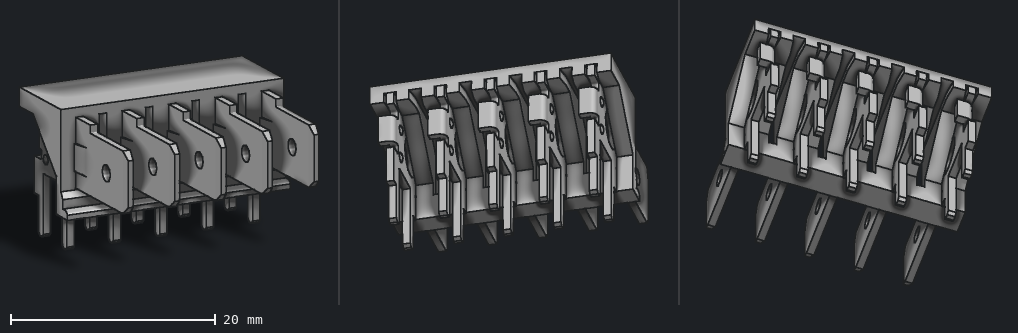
import cadquery as cq
import math


terminal_count = 5
pitch = 5.08
thickness = 0.8
total_height = 15.0
slot_top = 14.0
slot_bottom = 6.65
wall_back = 8.0
wall_front = 9.0
blade_bottom = 6.8
blade_center_z = 10.0

housing_length = 24.45
cap_thickness = 2.0
cap_underside = total_height - cap_thickness
cap_depth = 2.95
slope_run = wall_back - cap_depth
housing_bottom = 4.1
ledge_x = 9.43
ledge_chamfer_top = slot_bottom
ledge_chamfer_bottom = 5.96
foot_x = 10.4
foot_top = 5.0
foot_round_start_x = 9.85
foot_radius = 0.6
slot_mouth_width = 1.25
slot_mouth_depth = 1.6

body_bottom = 4.0
blade_tip_x = 20.0
blade_top = 13.17
shoulder_x = 12.07
shoulder_radius = 0.1
bevel_length = 0.9
bevel_height = 0.8
tip_thickness = 0.54
blade_hole_x = 15.52
blade_hole_diameter = 1.65
window_x = 6.0
window_diameter = 4.0

pin_width = 1.08
back_pin_x = 0.9
front_pin_x = 6.0
pin_gap_top = 6.48
pin_tip_chamfer = 0.32

notch_depth = 1.55
notch_bottom = 7.82
notch_top = 12.73
notch_radius = 0.17
tongue_bottom = 8.82
tongue_top = 11.75
tongue_root_x = 1.25
tongue_overhang = 0.95

dimple_x = 2.5
dimple_heights = (8.02, 11.1)
dimple_diameter = 1.0
dimple_height = 0.2

lance_start_x = 9.15
lance_end_x = 11.17
lance_rise = 0.27
lance_start_height = 2.75
lance_end_height = 2.95


def row_positions(count):
    """Y positions of a centred row of features at the terminal pitch."""
    return [(i - (count - 1) / 2) * pitch for i in range(count)]


def plate(sketch, width):
    """Extrude an XZ outline to the given width, centred on Y = 0."""
    return sketch.extrude(width).translate((0, width / 2, 0))


def xz_box(x_min, x_max, z_min, z_max, width):
    """Box given by its X and Z limits, centred on Y = 0."""
    outline = cq.Workplane("XZ").center((x_min + x_max) / 2, (z_min + z_max) / 2)
    return plate(outline.rect(x_max - x_min, z_max - z_min), width)


def make_slot():
    """Cutter for one slot: a straight passage with a flared mouth in the back face."""
    passage = xz_box(0, foot_x, slot_bottom, slot_top, thickness)
    mouth = (
        cq.Workplane("XY", origin=(0, 0, slot_bottom))
        .moveTo(0, -slot_mouth_width / 2)
        .lineTo(slot_mouth_depth, -thickness / 2)
        .lineTo(slot_mouth_depth, thickness / 2)
        .lineTo(0, slot_mouth_width / 2)
        .close()
        .extrude(slot_top - slot_bottom)
    )
    return passage.union(mouth)


def make_housing():
    """Cap, sloped underside and footed front wall, slotted at and between the terminals."""
    foot_round_run = foot_x - foot_round_start_x
    foot_round_drop = foot_radius - math.sqrt(foot_radius**2 - foot_round_run**2)
    profile = (
        cq.Workplane("XZ")
        .moveTo(0, total_height)
        .lineTo(wall_front, total_height)
        .lineTo(wall_front, ledge_chamfer_top)
        .lineTo(ledge_x, ledge_chamfer_bottom)
        .lineTo(ledge_x, foot_top)
        .lineTo(foot_round_start_x, foot_top)
        .radiusArc((foot_x, foot_top - foot_round_drop), foot_radius)
        .lineTo(foot_x, housing_bottom)
        .lineTo(wall_back, housing_bottom)
        .lineTo(wall_back, cap_underside - slope_run)
        .lineTo(cap_depth, cap_underside)
        .lineTo(0, cap_underside)
        .close()
    )
    housing = plate(profile, housing_length)
    slot = make_slot()
    for y in row_positions(terminal_count) + row_positions(terminal_count - 1):
        housing = housing.cut(slot.translate((0, y, 0)))
    return housing


def make_blade():
    """Flat connector blade with a raised root and a tip bevelled on all four sides."""
    bevel_x = blade_tip_x - bevel_length
    root = xz_box(0, shoulder_x, blade_bottom, slot_top, thickness)
    blade = xz_box(0, bevel_x, blade_bottom, blade_top, thickness)
    shoulder_fillet = plate(
        cq.Workplane("XZ")
        .moveTo(shoulder_x, blade_top)
        .lineTo(shoulder_x + shoulder_radius, blade_top)
        .radiusArc((shoulder_x, blade_top + shoulder_radius), shoulder_radius)
        .close(),
        thickness,
    )
    blade_height = blade_top - blade_bottom
    tip = (
        cq.Workplane("YZ", origin=(bevel_x, 0, (blade_top + blade_bottom) / 2))
        .rect(thickness, blade_height)
        .workplane(offset=bevel_length)
        .rect(tip_thickness, blade_height - 2 * bevel_height)
        .loft(ruled=True)
    )
    return root.union(blade).union(shoulder_fillet).union(tip)


def make_pin(x_min):
    """Solder pin with chamfered tip edges."""
    pin = xz_box(x_min, x_min + pin_width, 0, pin_gap_top, thickness)
    return pin.faces("<Z").edges("|Y").chamfer(pin_tip_chamfer)


def make_tongue():
    """Tongue that bends a quarter turn out of the sheet toward +Y."""
    half = thickness / 2
    back_x = tongue_root_x - thickness
    return (
        cq.Workplane("XY", origin=(0, 0, tongue_bottom))
        .moveTo(notch_depth, -half)
        .lineTo(tongue_root_x, -half)
        .radiusArc((back_x, half), thickness)
        .lineTo(back_x, half + tongue_overhang)
        .lineTo(tongue_root_x, half + tongue_overhang)
        .lineTo(tongue_root_x, half)
        .lineTo(notch_depth, half)
        .close()
        .extrude(tongue_top - tongue_bottom)
    )


def make_notch():
    """Cutter for the clearance in the back edge around the tongue."""
    slots = xz_box(0, notch_depth, tongue_top, notch_top, thickness)
    slots = slots.union(xz_box(0, notch_depth, notch_bottom, tongue_bottom, thickness))
    slots = slots.edges("|Y and >X").fillet(notch_radius)
    return slots.union(xz_box(0, tongue_root_x, tongue_bottom, tongue_top, thickness))


def make_dimple(z):
    """Shallow spherical bump on the -Y face."""
    radius = (dimple_diameter**2 / 4 + dimple_height**2) / (2 * dimple_height)
    center_y = -thickness / 2 - dimple_height + radius
    ball = cq.Workplane("XZ").sphere(radius).translate((dimple_x, center_y, z))
    shell = xz_box(dimple_x - radius, dimple_x + radius, z - radius, z + radius, dimple_height)
    outside = shell.translate((0, -(thickness + dimple_height) / 2, 0))
    return ball.intersect(outside)


def make_lance():
    """Retaining lance on the -Y face, rising toward the housing wall."""
    face_y = -thickness / 2
    wedge = (
        cq.Workplane("XY", origin=(0, 0, blade_bottom))
        .moveTo(lance_start_x, face_y)
        .lineTo(lance_start_x, face_y - lance_rise)
        .lineTo(lance_end_x, face_y)
        .close()
        .extrude(blade_top - blade_bottom)
    )
    outline = (
        cq.Workplane("XZ")
        .moveTo(lance_start_x, blade_center_z - lance_start_height / 2)
        .lineTo(lance_end_x, blade_center_z - lance_end_height / 2)
        .lineTo(lance_end_x, blade_center_z + lance_end_height / 2)
        .lineTo(lance_start_x, blade_center_z + lance_start_height / 2)
        .close()
    )
    return wedge.intersect(plate(outline, thickness + 2 * lance_rise))


def make_terminal():
    """Complete terminal: body, pins, blade, bent tongue, dimples and lance."""
    terminal = make_blade()
    terminal = terminal.union(xz_box(0, wall_back, pin_gap_top, slot_top, thickness))
    for seat_start, seat_end, pin_x in (
        (0, back_pin_x + pin_width, back_pin_x),
        (front_pin_x, wall_back, front_pin_x),
    ):
        seat = xz_box(seat_start, seat_end, body_bottom, pin_gap_top, thickness)
        terminal = terminal.union(seat).union(make_pin(pin_x))
    for hole_x, diameter in ((window_x, window_diameter), (blade_hole_x, blade_hole_diameter)):
        hole = cq.Workplane("XZ").center(hole_x, blade_center_z).circle(diameter / 2)
        terminal = terminal.cut(plate(hole, thickness))
    terminal = terminal.cut(make_notch()).union(make_tongue())
    for z in dimple_heights:
        terminal = terminal.union(make_dimple(z))
    return terminal.union(make_lance())


housing = make_housing()
terminal = make_terminal()
terminals = [terminal.translate((0, y, 0)) for y in row_positions(terminal_count)]

result = cq.Compound.makeCompound([housing.solids().val(), *[body.solids().val() for body in terminals]])